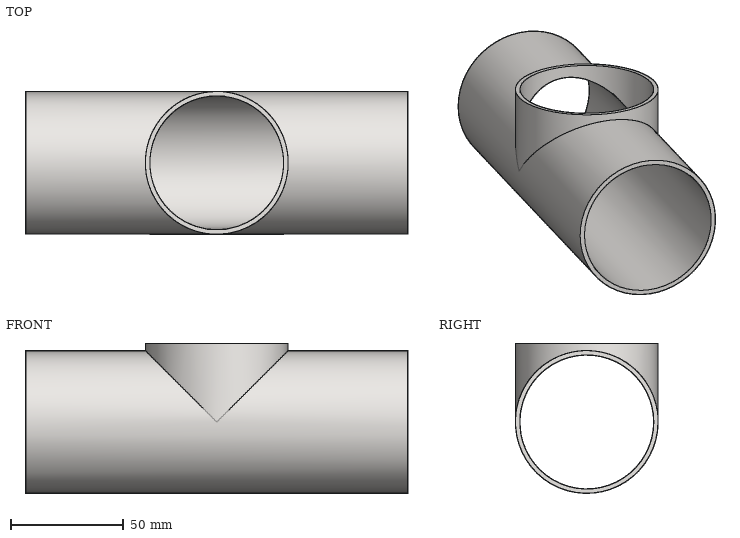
import cadquery as cq

run_length = 170.0
outer_diameter = 63.5
bore_diameter = 59.5
branch_projection = 3.2

outer_radius = outer_diameter / 2
branch_height = outer_radius + branch_projection


def run_cylinder(diameter):
    """Cylinder along X, centred on the origin."""
    return cq.Workplane("YZ").circle(diameter / 2).extrude(run_length / 2, both=True)


def branch_cylinder(diameter):
    """Cylinder from the run axis up to the branch rim."""
    return cq.Workplane("XY").circle(diameter / 2).extrude(branch_height)


def tee(diameter):
    """Run and branch of one diameter, joined."""
    return run_cylinder(diameter).union(branch_cylinder(diameter))


result = tee(outer_diameter).cut(run_cylinder(bore_diameter)).cut(branch_cylinder(bore_diameter))